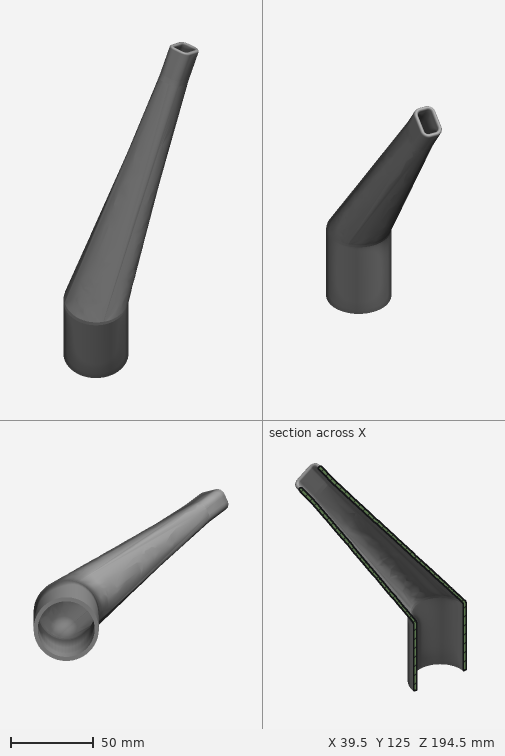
import cadquery as cq
import math

socket_diameter = 39.5
socket_height = 50.0

lean_angle = 35.0
arm_length = 170.0
tip_length = 20.5
tip_width = 14.0
tip_depth = 20.0
tip_corner = 4.9

elbow_half_height = 1.0
elbow_shrink = 0.08
neck_half_length = 1.8
neck_growth = 0.1

wall = 2.5
lip_round = 1.2

corner_arc_angle = 2.0

lean = math.radians(lean_angle)
neck_distance = arm_length - tip_length


def arm_plane(distance):
    """Plane square to the arm axis, at a distance along it from the bend."""
    origin = (0, distance * math.sin(lean), socket_height + distance * math.cos(lean))
    return cq.Plane(origin=origin, xDir=(1, 0, 0), normal=(0, math.sin(lean), math.cos(lean)))


def polar(center, radius, angle):
    """Point on a circle, with the angle in degrees."""
    turn = math.radians(angle)
    return (center[0] + radius * math.cos(turn), center[1] + radius * math.sin(turn))


def tip_outline(distance, inset):
    """Rounded rectangle square to the arm, starting with its +X side."""
    half_width = tip_width / 2 - inset
    radius = tip_corner - inset
    flat_x = tip_width / 2 - tip_corner
    flat_y = tip_depth / 2 - tip_corner
    outline = cq.Workplane(arm_plane(distance)).moveTo(half_width, -flat_y)
    corner_signs = [(1, 1), (-1, 1), (-1, -1), (1, -1)]
    for index, (sign_x, sign_y) in enumerate(corner_signs):
        center = (sign_x * flat_x, sign_y * flat_y)
        start_angle = 90 * index
        outline = outline.lineTo(*polar(center, radius, start_angle))
        outline = outline.threePointArc(
            polar(center, radius, start_angle + 45),
            polar(center, radius, start_angle + 90),
        )
    return outline.wire().val()


def round_outline(rise, inset):
    """Circle split into the same eight stretches as the tip outline.

    It lies level, at a rise above or below the bend; above it, the circle follows the arm axis.
    """
    radius = socket_diameter / 2 - inset
    half_arc = corner_arc_angle / 2
    center = (0, max(rise, 0) * math.tan(lean))
    outline = cq.Workplane("XY", origin=(0, 0, socket_height + rise))
    outline = outline.moveTo(*polar(center, radius, half_arc - 45))
    for side_angle in (0, 90, 180, 270):
        corner_angle = side_angle + 45
        outline = outline.threePointArc(
            polar(center, radius, side_angle),
            polar(center, radius, corner_angle - half_arc),
        )
        outline = outline.threePointArc(
            polar(center, radius, corner_angle),
            polar(center, radius, corner_angle + half_arc),
        )
    return outline.wire().val()


def straight_walled(start, end):
    """Solid between two outlines, with straight lines joining them."""
    return cq.Workplane(cq.Solid.makeLoft([start, end], True))


def nozzle_body(inset):
    """Solid nozzle, from socket to tip, with every side moved inward by the inset."""
    elbow_start = round_outline(-elbow_half_height, inset)
    elbow_end = round_outline(elbow_half_height, inset + elbow_shrink)
    neck_start = tip_outline(neck_distance - neck_half_length, inset - neck_growth)
    neck_end = tip_outline(neck_distance + neck_half_length, inset)
    tip_end = tip_outline(arm_length, inset)

    socket = cq.Workplane("XY").circle(socket_diameter / 2 - inset)
    body = socket.extrude(socket_height - elbow_half_height)
    body = body.union(straight_walled(elbow_start, elbow_end))
    body = body.union(straight_walled(elbow_end, neck_start))
    body = body.union(straight_walled(neck_start, neck_end))
    return body.union(straight_walled(neck_end, tip_end))


nozzle = nozzle_body(0).cut(nozzle_body(wall))

lip_selector = cq.selectors.DirectionMinMaxSelector(arm_plane(arm_length).zDir)
result = nozzle.faces(lip_selector).edges().fillet(lip_round)